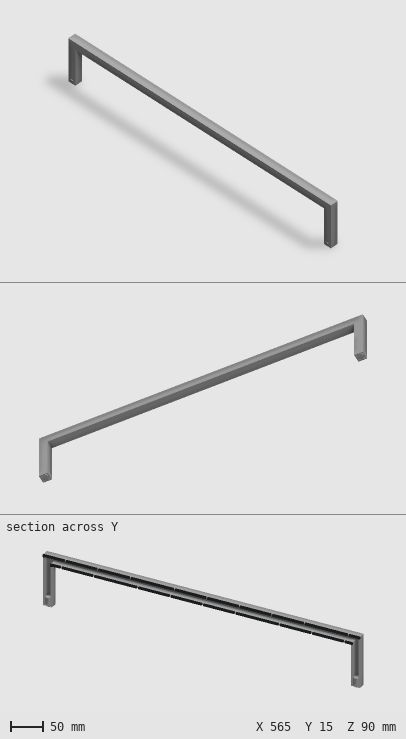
import cadquery as cq

LENGTH = 565.0
HEIGHT = 90.0
SECTION = 15.0
WALL = 2.0
BORE = SECTION - 2 * WALL

PLUG_DIAMETER = BORE
PLUG_HEIGHT = 15.0

HOLE_DIAMETER = 5.0
HOLE_HEIGHT = 8.5

LEG_X = (LENGTH - SECTION) / 2


def sweep_square(width):
    """Sweep a square along the U-shaped centreline with mitred corners."""
    top = HEIGHT - SECTION / 2
    path = cq.Workplane("XZ").polyline([(-LEG_X, 0), (-LEG_X, top), (LEG_X, top), (LEG_X, 0)])
    return (
        cq.Workplane("XY")
        .center(-LEG_X, 0)
        .rect(width, width)
        .sweep(path, transition="right", clean=False)
    )


def make_frame():
    """Hollow frame with open feet and a fixing hole in the front of each leg."""
    frame = sweep_square(SECTION).cut(sweep_square(BORE), clean=False)
    holes = (
        cq.Workplane("XZ", origin=(0, -SECTION / 2, 0))
        .pushPoints([(-LEG_X, HOLE_HEIGHT), (LEG_X, HOLE_HEIGHT)])
        .circle(HOLE_DIAMETER / 2)
        .extrude(-WALL)
    )
    return frame.cut(holes, clean=False)


def make_plug(x):
    """Cylindrical plug standing flush with the foot of the leg at x."""
    return cq.Workplane("XY").center(x, 0).circle(PLUG_DIAMETER / 2).extrude(PLUG_HEIGHT)


frame = make_frame()
plugs = [make_plug(x) for x in (-LEG_X, LEG_X)]
result = cq.Compound.makeCompound([frame.val(), *[plug.val() for plug in plugs]])